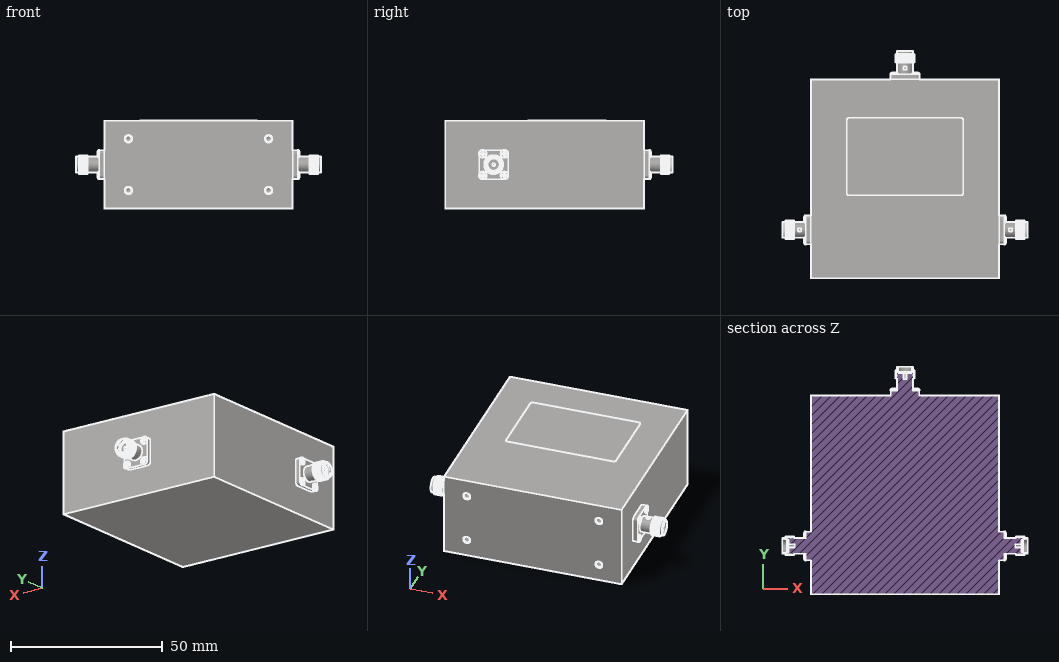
import cadquery as cq

overall_width = 81.05
overall_length = 75.05
overall_height = 29.1
housing_width = 62.1
label_thickness = 0.1
housing_height = overall_height - label_thickness
connector_length = (overall_width - housing_width) / 2
housing_length = overall_length - connector_length
housing_top = housing_height / 2

label_width = 38.4
label_depth = 25.6
label_corner_radius = 0.8
label_center_y = 40.1

hole_spacing_x = 46.2
hole_spacing_z = 17.0
hole_diameter = 2.0
hole_mouth_diameter = 2.5
hole_depth = 5.7
hole_mouth_chamfer = (hole_mouth_diameter - hole_diameter) / 2
hole_tip_depth = hole_diameter / 4

side_connector_y = 16.0
flange_size = 9.6
flange_thickness = 1.7
flange_corner_radius = 1.2
barrel_diameter = 5.35
tip_chamfer = 0.2
bore_diameter = 4.0
bore_mouth_diameter = 4.5
bore_depth = 2.1
bore_mouth_depth = 1.6
contact_hole_diameter = 1.0
contact_hole_depth = 2.0

thread_diameter = 6.3
thread_root_diameter = 5.7
thread_start = 5.4
thread_end = 8.4
thread_ridges = 5
thread_pitch = (thread_end - thread_start) / thread_ridges
thread_crest_width = thread_pitch / 4

plug_diameter = 1.2
plug_height = 3.7
plug_projection = 0.04

screw_spacing = 7.1
screw_head_diameter = 2.6
screw_head_height = 0.7
screw_rim_height = 0.2
screw_slot_length = 1.8
screw_slot_width = 0.5
screw_slot_depth = 0.5


def housing():
    block = cq.Workplane("XY").box(
        housing_width, housing_length, housing_height, centered=(True, False, True)
    )
    label = (
        cq.Workplane("XY", origin=(0, label_center_y, housing_top))
        .rect(label_width, label_depth)
        .extrude(label_thickness)
        .edges("|Z")
        .fillet(label_corner_radius)
    )
    return block.union(label)


def front_hole(x, z):
    """Drilled hole along Y with a chamfered mouth and a conical bottom."""
    mouth_radius = hole_mouth_diameter / 2
    drill_radius = hole_diameter / 2
    profile = [
        (0, 0),
        (mouth_radius, 0),
        (drill_radius, hole_mouth_chamfer),
        (drill_radius, hole_depth),
        (0, hole_depth + hole_tip_depth),
    ]
    drill = cq.Workplane("XY").polyline(profile).close().revolve(360, (0, 0, 0), (0, 1, 0))
    return drill.translate((x, 0, z))


def barrel():
    """Threaded barrel along Z with a stepped bore and a contact hole."""
    barrel_radius = barrel_diameter / 2
    crest_radius = thread_diameter / 2
    root_radius = thread_root_diameter / 2
    outline = [(0, 0), (barrel_radius, 0), (barrel_radius, thread_start), (root_radius, thread_start)]
    for ridge in range(thread_ridges):
        ridge_start = thread_start + ridge * thread_pitch
        crest_start = ridge_start + (thread_pitch - thread_crest_width) / 2
        outline += [
            (crest_radius, crest_start),
            (crest_radius, crest_start + thread_crest_width),
            (root_radius, ridge_start + thread_pitch),
        ]
    outline += [
        (barrel_radius, thread_end),
        (barrel_radius, connector_length - tip_chamfer),
        (barrel_radius - tip_chamfer, connector_length),
        (bore_mouth_diameter / 2, connector_length),
        (bore_mouth_diameter / 2, connector_length - bore_mouth_depth),
        (bore_diameter / 2, connector_length - bore_mouth_depth),
        (bore_diameter / 2, connector_length - bore_depth),
        (contact_hole_diameter / 2, connector_length - bore_depth),
        (contact_hole_diameter / 2, connector_length - bore_depth - contact_hole_depth),
        (0, connector_length - bore_depth - contact_hole_depth),
    ]
    return cq.Workplane("XZ").polyline(outline).close().revolve(360, (0, 0, 0), (0, 1, 0))


def flange_screws():
    """Four domed screw heads, each with a cross-shaped slot."""
    slot_floor = flange_thickness + screw_head_height - screw_slot_depth
    dome_height = screw_head_height - screw_rim_height
    head_radius = screw_head_diameter / 2
    dome_radius = (head_radius**2 + dome_height**2) / (2 * dome_height)
    head = (
        cq.Workplane("XY")
        .circle(head_radius)
        .extrude(screw_head_height)
        .intersect(cq.Workplane("XY", origin=(0, 0, screw_head_height - dome_radius)).sphere(dome_radius))
    )
    heads = cq.Workplane("XY", origin=(0, 0, flange_thickness))
    heads = heads.rarray(screw_spacing, screw_spacing, 2, 2).eachpoint(head.val(), combine=True)
    for slot_x, slot_y in ((screw_slot_length, screw_slot_width), (screw_slot_width, screw_slot_length)):
        slots = (
            cq.Workplane("XY", origin=(0, 0, slot_floor))
            .rarray(screw_spacing, screw_spacing, 2, 2)
            .rect(slot_x, slot_y)
            .extrude(screw_slot_depth)
        )
        heads = heads.cut(slots)
    return heads


def connector():
    """Flanged connector along local Z, with its plug facing local X."""
    flange = (
        cq.Workplane("XY")
        .rect(flange_size, flange_size)
        .extrude(flange_thickness)
        .edges("|Z")
        .fillet(flange_corner_radius)
    )
    plug = (
        cq.Workplane("YZ")
        .center(0, plug_height)
        .circle(plug_diameter / 2)
        .extrude(barrel_diameter / 2 + plug_projection)
    )
    return flange.union(barrel()).union(plug).union(flange_screws())


result = housing()
for hole_x in (-hole_spacing_x / 2, hole_spacing_x / 2):
    for hole_z in (-hole_spacing_z / 2, hole_spacing_z / 2):
        result = result.cut(front_hole(hole_x, hole_z))

connector_seats = (
    ((-housing_width / 2, side_connector_y, 0), (-1, 0, 0)),
    ((housing_width / 2, side_connector_y, 0), (1, 0, 0)),
    ((0, housing_length, 0), (0, 1, 0)),
)
port = connector().val()
for seat, direction in connector_seats:
    plane = cq.Plane(origin=seat, xDir=(0, 0, 1), normal=direction)
    result = result.union(cq.Workplane(port.moved(cq.Location(plane))))